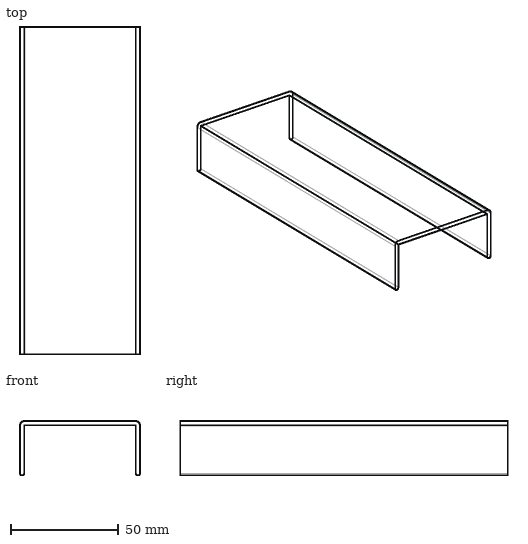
import cadquery as cq

width = 55.88
length = 152.4
height = 25.4

wall = 2.032
bend_radius = 2.159

half_width = width / 2
inner_half_width = half_width - wall
top = height / 2
web_underside = top - wall
lip_bottom = -height / 2
lip_radius = wall / 2
lip_center_x = half_width - lip_radius
lip_center_z = lip_bottom + lip_radius


def channel_profile():
    """U-shaped section, open downward, with each flange ending in a full round."""
    return (
        cq.Workplane("XZ")
        .moveTo(-half_width, lip_center_z)
        .lineTo(-half_width, top)
        .lineTo(half_width, top)
        .lineTo(half_width, lip_center_z)
        .threePointArc((lip_center_x, lip_bottom), (inner_half_width, lip_center_z))
        .lineTo(inner_half_width, web_underside)
        .lineTo(-inner_half_width, web_underside)
        .lineTo(-inner_half_width, lip_center_z)
        .threePointArc((-lip_center_x, lip_bottom), (-half_width, lip_center_z))
        .close()
    )


def channel():
    """The section extruded along Y, half the length to each side of the origin."""
    return channel_profile().extrude(length / 2, both=True)


def round_bends(body):
    """Round the two long outer edges where the web meets the flanges."""
    return body.faces(">Z").edges("|Y").fillet(bend_radius)


result = round_bends(channel())